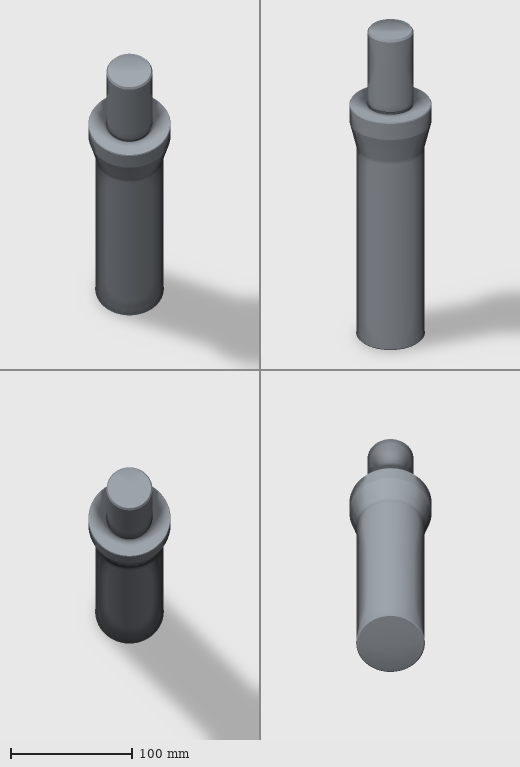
import cadquery as cq

total_length = 288.29

rod_radius = 19.0
rod_tip_chamfer_width = 1.2
rod_tip_chamfer_height = 2.0
rod_exposed_length = 69.5
neck_radius = 18.0
rod_shoulder_gap = 2.0
rod_shoulder_bevel = 1.0
rod_socket_depth = 10.0

flange_radius = 34.0
flange_rim_chamfer_width = 0.5
flange_rim_chamfer_height = 1.0
flange_height = 16.2
tube_radius = 28.1
taper_height = 24.4
taper_blend_radius = 9.0
mouth_radius = 19.75
mouth_depth = 1.75
foot_radius = 28.4
foot_flare_height = 8.6
foot_chamfer = 1.2
foot_dome_height = 1.0

flange_top = total_length - rod_exposed_length
flange_bottom = flange_top - flange_height
taper_bottom = flange_bottom - taper_height
socket_floor = flange_top - rod_socket_depth
shoulder_top = flange_top + rod_shoulder_gap
foot_chamfer_top = foot_dome_height + foot_chamfer
foot_flare_top = foot_chamfer_top + foot_flare_height
dome_radius = foot_radius - foot_chamfer


def turn(profile):
    """Revolve a closed half profile (radius, height) about the Z axis."""
    return profile.close().revolve(360, (0, 0, 0), (0, 1, 0))


def make_housing():
    dome_mid = (dome_radius / 2, foot_dome_height / 4)
    profile = (
        cq.Workplane("XZ")
        .moveTo(0, 0)
        .threePointArc(dome_mid, (dome_radius, foot_dome_height))
        .lineTo(foot_radius, foot_chamfer_top)
        .lineTo(tube_radius, foot_flare_top)
        .lineTo(tube_radius, taper_bottom)
        .lineTo(flange_radius, flange_bottom)
        .lineTo(flange_radius, flange_top - flange_rim_chamfer_height)
        .lineTo(flange_radius - flange_rim_chamfer_width, flange_top)
        .lineTo(mouth_radius, flange_top)
        .lineTo(neck_radius, flange_top - mouth_depth)
        .lineTo(neck_radius, socket_floor)
        .lineTo(0, socket_floor)
    )
    taper_base = cq.selectors.NearestToPointSelector((tube_radius, 0, taper_bottom))
    return turn(profile).edges("%CIRCLE").edges(taper_base).fillet(taper_blend_radius)


def make_rod():
    profile = (
        cq.Workplane("XZ")
        .moveTo(0, socket_floor)
        .lineTo(neck_radius, socket_floor)
        .lineTo(neck_radius, shoulder_top - rod_shoulder_bevel)
        .lineTo(rod_radius, shoulder_top)
        .lineTo(rod_radius, total_length - rod_tip_chamfer_height)
        .lineTo(rod_radius - rod_tip_chamfer_width, total_length)
        .lineTo(0, total_length)
    )
    return turn(profile)


housing = make_housing()
rod = make_rod()

result = cq.Compound.makeCompound([housing.val(), rod.val()])